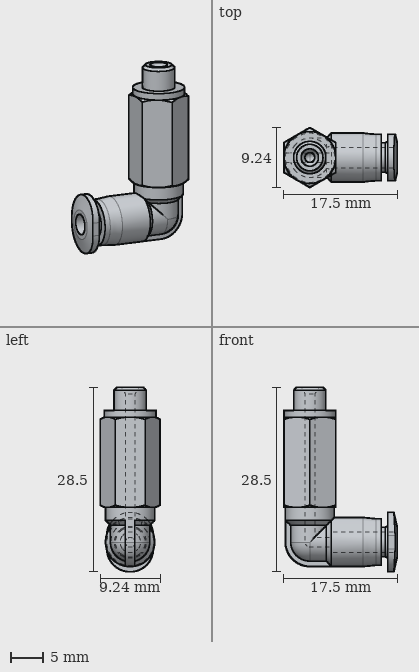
import cadquery as cq
import math

OVERALL_HEIGHT = 28.5

HEX_FLATS = 8.0
HEX_BOTTOM = 5.33
HEX_TOP = 19.27
HEX_CHAMFER_ANGLE = 30.0
WASHER_TOP = 20.3
THREAD_DIAMETER = 5.0
THREAD_CHAMFER = 0.45

BODY_DIAMETER = 7.6
ELBOW_DIAMETER = 6.07
SHOULDER_START = 2.56
RIB_THICKNESS = 1.48

TAPER_START = 8.18
TAPER_END = 10.17
SOCKET_END_DIAMETER = 7.2
SOCKET_END = 11.03

SLEEVE_DIAMETER = 4.6
SLEEVE_FLARE = 0.17
BUTTON_START = 12.0
BUTTON_LENGTH = 9.23
BUTTON_WIDTH = 7.2
BUTTON_END = 17.5 - HEX_FLATS / 2
BUTTON_EDGE_DROP = 0.55
BUTTON_FACE_DIAMETER = 4.6

PASSAGE_DIAMETER = 1.5
INLET_DIAMETER = 2.68
INLET_DEPTH = 1.0
TUBE_BORE_DIAMETER = 3.15

BODY_RADIUS = BODY_DIAMETER / 2
ELBOW_RADIUS = ELBOW_DIAMETER / 2
SHOULDER_END = SHOULDER_START + BODY_RADIUS - ELBOW_RADIUS
THREAD_TOP = OVERALL_HEIGHT - BUTTON_LENGTH / 2


def vertical_turned(profile):
    """Revolve (radius, z) points about the vertical axis."""
    return cq.Workplane("XZ").polyline(profile).close().revolve(360, (0, 0), (0, 1))


def horizontal_turned(profile):
    """Revolve (x, radius) points about the horizontal axis."""
    return cq.Workplane("XZ").polyline(profile).close().revolve(360, (0, 0), (1, 0))


def round_elbow(radius, top, end):
    """Vertical and horizontal cylinders joined by a ball at the origin."""
    upright = cq.Workplane("XY").circle(radius).extrude(top)
    level = cq.Workplane("YZ").circle(radius).extrude(end)
    return upright.union(level).union(cq.Workplane("XY").sphere(radius))


def make_hex_stem():
    """Hexagon with corners on +Y and -Y, and both ends chamfered by cones."""
    flat_radius = HEX_FLATS / 2
    corner_radius = flat_radius / math.cos(math.radians(30))
    cone_height = (corner_radius - flat_radius) * math.tan(math.radians(HEX_CHAMFER_ANGLE))
    prism = (
        cq.Workplane("XY", origin=(0, 0, HEX_BOTTOM))
        .transformed(rotate=(0, 0, 90))
        .polygon(6, 2 * corner_radius)
        .extrude(HEX_TOP - HEX_BOTTOM)
    )
    chamfer_envelope = vertical_turned([
        (0, HEX_BOTTOM),
        (flat_radius, HEX_BOTTOM),
        (corner_radius, HEX_BOTTOM + cone_height),
        (corner_radius, HEX_TOP - cone_height),
        (flat_radius, HEX_TOP),
        (0, HEX_TOP),
    ])
    return prism.intersect(chamfer_envelope)


def make_threaded_end():
    """Washer face and plain thread cylinder with a chamfered tip."""
    washer = cq.Workplane("XY", origin=(0, 0, HEX_TOP)).circle(HEX_FLATS / 2).extrude(WASHER_TOP - HEX_TOP)
    thread = (
        cq.Workplane("XY", origin=(0, 0, WASHER_TOP))
        .circle(THREAD_DIAMETER / 2)
        .extrude(THREAD_TOP - WASHER_TOP)
        .faces(">Z")
        .chamfer(THREAD_CHAMFER)
    )
    return washer.union(thread)


def make_neck():
    """Round neck below the hexagon, coned down to the elbow."""
    return vertical_turned([
        (0, SHOULDER_START),
        (ELBOW_RADIUS, SHOULDER_START),
        (BODY_RADIUS, SHOULDER_END),
        (BODY_RADIUS, HEX_BOTTOM),
        (0, HEX_BOTTOM),
    ])


def make_socket():
    """Horizontal tube socket, tapered towards its open end."""
    return horizontal_turned([
        (SHOULDER_START, 0),
        (SHOULDER_START, ELBOW_RADIUS),
        (SHOULDER_END, BODY_RADIUS),
        (TAPER_START, BODY_RADIUS),
        (TAPER_END, SOCKET_END_DIAMETER / 2),
        (SOCKET_END, SOCKET_END_DIAMETER / 2),
        (SOCKET_END, 0),
    ])


def make_rib():
    """Thin slice of a full-size elbow, standing proud around the outer bend."""
    slab_size = 2 * BODY_DIAMETER
    slab = cq.Workplane("XY").box(slab_size, RIB_THICKNESS, slab_size)
    full_elbow = round_elbow(BODY_RADIUS, SHOULDER_END, SHOULDER_END)
    inner_corner = (
        cq.Workplane("XY")
        .box(BODY_RADIUS, RIB_THICKNESS, BODY_RADIUS, centered=(False, True, False))
    )
    return full_elbow.intersect(slab).cut(inner_corner)


def make_button():
    """Sleeve and obround flange with a sloping rim on its outer face."""
    sleeve_radius = SLEEVE_DIAMETER / 2
    sleeve = horizontal_turned([
        (SOCKET_END, 0),
        (SOCKET_END, sleeve_radius),
        (BUTTON_START - 2 * SLEEVE_FLARE, sleeve_radius),
        (BUTTON_START, sleeve_radius + SLEEVE_FLARE),
        (BUTTON_START, 0),
    ])
    flange = (
        cq.Workplane("YZ", origin=(BUTTON_START, 0, 0))
        .slot2D(BUTTON_LENGTH, BUTTON_WIDTH, 90)
        .extrude(BUTTON_END - BUTTON_START)
    )
    rim_envelope = horizontal_turned([
        (BUTTON_START, 0),
        (BUTTON_START, BUTTON_LENGTH / 2),
        (BUTTON_END - BUTTON_EDGE_DROP, BUTTON_LENGTH / 2),
        (BUTTON_END, BUTTON_FACE_DIAMETER / 2),
        (BUTTON_END, 0),
    ])
    return sleeve.union(flange.intersect(rim_envelope))


def make_inlet():
    """Cone that narrows from the threaded tip to the passage."""
    return vertical_turned([
        (0, THREAD_TOP - INLET_DEPTH),
        (PASSAGE_DIAMETER / 2, THREAD_TOP - INLET_DEPTH),
        (INLET_DIAMETER / 2, THREAD_TOP),
        (0, THREAD_TOP),
    ])


def make_tube_bore():
    """Wider bore from the button face to the end of the elbow shoulder."""
    return (
        cq.Workplane("YZ", origin=(SHOULDER_END, 0, 0))
        .circle(TUBE_BORE_DIAMETER / 2)
        .extrude(BUTTON_END - SHOULDER_END)
    )


result = (
    round_elbow(ELBOW_RADIUS, SHOULDER_START, SHOULDER_START)
    .union(make_rib())
    .union(make_neck())
    .union(make_socket())
    .union(make_hex_stem())
    .union(make_threaded_end())
    .union(make_button())
    .cut(round_elbow(PASSAGE_DIAMETER / 2, THREAD_TOP, SHOULDER_END))
    .cut(make_inlet())
    .cut(make_tube_bore())
)